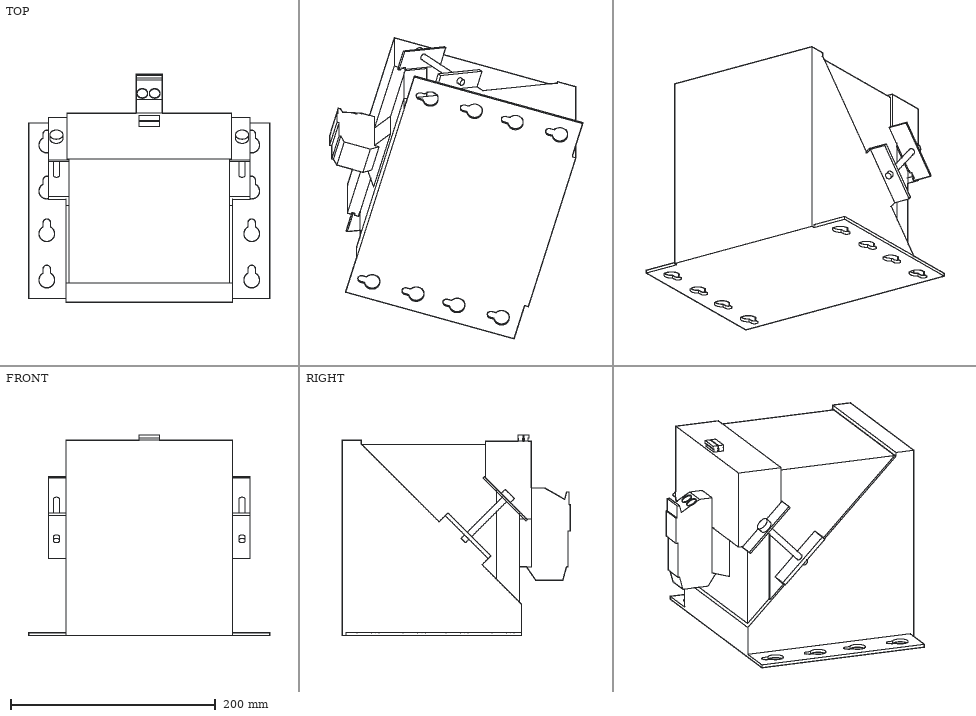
import cadquery as cq
import math


plate_width = 235.5
plate_thickness = 3.0
plate_front = 3.8
keyhole_x = 100.0
keyhole_radius = 7.5
keyhole_slot_radius = 3.5
keyhole_slot_rise = 10.8
keyhole_rows = (22.0, 67.0, 108.8, 153.8)

tray_width = 163.0
tray_depth = 175.5
tray_height = 191.0
tray_band_depth = 18.8
tray_back_height = 30.5

core_width = 156.8
core_step = 150.7
core_rear_width = 151.7
core_back = 173.3
core_height = 187.0

cap_width = 161.0
cap_front = 140.0
cap_back = 184.9
cap_bottom = 114.0
cap_top = 190.0
cap_slope_top = 154.5

clamp_half_width = 98.5
clamp_length = 59.3
lower_flange_thickness = 3.8
lower_flange_rise = 12.2
upper_flange_thickness = 2.0
screw_x = 90.7
screw_line_offset = 25.5
screw_radius = 3.0
head_radius = 6.4
head_height = 5.7
screw_end_projection = 4.7

terminal_width = 25.5
end_plate_thickness = 1.5
terminal_back = 223.0
terminal_top = 144.4
terminal_bottom = 54.2
terminal_slope_front = 198.0
terminal_slope_back = 217.4
terminal_slope_low = 133.3
terminal_lip_front = 219.3
terminal_lip_back = 221.8
terminal_lip_top = 140.5
terminal_ridge_top = 128.0
terminal_ridge_bottom = 102.2
terminal_lower_back = 221.0
terminal_taper_back = 215.7
terminal_foot_front = 189.0
terminal_foot_end = 180.2
contact_radius = 5.2
contact_depth = 1.0
contact_y = 204.5

bracket_bottom = 67.0
bracket_half_width = terminal_width / 2
bracket_flare = 16.5

clip_width = 20.3
clip_front = 171.7
clip_bar_width = 5.2
clip_gap = 0.7
clip_height = 6.1
clip_lip_height = 3.0
clip_lip_overhang = 0.2
clip_rear_overhang = 1.0


def box(x0, x1, y0, y1, z0, z1):
    return cq.Workplane("XY").box(x1 - x0, y1 - y0, z1 - z0, centered=False).translate((x0, y0, z0))


def cylinder(radius, height):
    return cq.Workplane("XY").circle(radius).extrude(height)


def prism(profile, x0, x1):
    """Extrude a (y, z) side profile from x0 to x1."""
    return cq.Workplane("YZ").polyline(profile).close().extrude(x1 - x0).translate((x0, 0, 0))


def mirrored(body):
    return body.union(body.mirror("YZ"))


def slanted_strip(top_z, thickness, x0, x1):
    """45 degree strip centred on the screw line, its upper face meeting the screw axis at top_z."""
    centre_y = top_z + screw_line_offset
    strip = cq.Workplane("XY").box(x1 - x0, clamp_length, thickness, centered=(False, True, False))
    strip = strip.translate((x0, 0, -thickness)).rotate((0, 0, 0), (1, 0, 0), -45)
    return strip.translate((0, centre_y, top_z))


def screw_axis_height(line_sum):
    """Height at which the screw axis crosses the 45 degree line y + z = line_sum."""
    return (line_sum - screw_line_offset) / 2


tray_line = tray_depth + tray_back_height
cap_line = cap_front + cap_slope_top
lower_flange_top = screw_axis_height(tray_line) + lower_flange_rise / math.sqrt(2)
upper_flange_top = screw_axis_height(cap_line)


def keyhole(x, y):
    tip_y = y + keyhole_slot_rise
    bulb = cylinder(keyhole_radius, plate_thickness).translate((x, y, 0))
    tip = cylinder(keyhole_slot_radius, plate_thickness).translate((x, tip_y, 0))
    neck = box(x - keyhole_slot_radius, x + keyhole_slot_radius, y, tip_y, 0, plate_thickness)
    return bulb.union(tip).union(neck)


def mounting_plate():
    plate = box(-plate_width / 2, plate_width / 2, plate_front, tray_depth, 0, plate_thickness)
    for y in keyhole_rows:
        for x in (-keyhole_x, keyhole_x):
            plate = plate.cut(keyhole(x, y))
    return plate


def tray():
    profile = [
        (0, 0),
        (tray_depth, 0),
        (tray_depth, tray_back_height),
        (tray_band_depth, tray_line - tray_band_depth),
        (tray_band_depth, tray_height),
        (0, tray_height),
    ]
    return prism(profile, -tray_width / 2, tray_width / 2)


def core():
    main = box(-core_width / 2, core_width / 2, 0, core_step, 0, core_height)
    rear = box(-core_rear_width / 2, core_rear_width / 2, core_step, core_back, 0, core_height)
    return main.union(rear)


def cap():
    profile = [
        (cap_front, cap_top),
        (cap_back, cap_top),
        (cap_back, cap_bottom),
        (core_back, cap_bottom),
        (core_back, cap_line - core_back),
        (cap_front, cap_slope_top),
    ]
    return prism(profile, -cap_width / 2, cap_width / 2)


def clamp_flanges():
    inner_x = core_width / 2
    lower_tab = slanted_strip(lower_flange_top, lower_flange_rise, inner_x, tray_width / 2)
    lower = slanted_strip(lower_flange_top, lower_flange_thickness, inner_x, clamp_half_width)
    upper = slanted_strip(upper_flange_top, upper_flange_thickness, inner_x, clamp_half_width)
    return mirrored(lower_tab.union(lower).union(upper))


def screws():
    flange_distance = (upper_flange_top - lower_flange_top) * math.sqrt(2)
    shaft_length = flange_distance + lower_flange_thickness + screw_end_projection
    screw = cylinder(head_radius, head_height).union(cylinder(screw_radius, -shaft_length))
    screw = screw.rotate((0, 0, 0), (1, 0, 0), -45)
    screw = screw.translate((screw_x, upper_flange_top + screw_line_offset, upper_flange_top))
    return mirrored(screw)


def terminal_block():
    profile = [
        (cap_back, terminal_top),
        (terminal_slope_front, terminal_top),
        (terminal_slope_back, terminal_slope_low),
        (terminal_lip_front, terminal_lip_top),
        (terminal_lip_back, terminal_lip_top),
        (terminal_lip_back, terminal_ridge_top),
        (terminal_back, terminal_ridge_top),
        (terminal_back, terminal_ridge_bottom),
        (terminal_lower_back, terminal_ridge_bottom),
        (terminal_lower_back, bracket_bottom),
        (terminal_lip_front, bracket_bottom),
        (terminal_taper_back, terminal_bottom),
        (terminal_foot_front, terminal_bottom),
        (terminal_foot_end, bracket_bottom),
        (cap_back, bracket_bottom),
    ]
    block = prism(profile, -terminal_width / 2, terminal_width / 2)
    slope_run = terminal_slope_back - terminal_slope_front
    slope_drop = terminal_top - terminal_slope_low
    slope_angle = math.degrees(math.atan2(slope_drop, slope_run))
    contact_z = terminal_top - (contact_y - terminal_slope_front) * slope_drop / slope_run
    terminal_pitch = (terminal_width - end_plate_thickness) / 2
    for side in (-1, 1):
        x = (side * terminal_pitch - end_plate_thickness) / 2
        recess = cylinder(contact_radius, 2 * contact_depth)
        recess = recess.translate((0, 0, -contact_depth)).rotate((0, 0, 0), (1, 0, 0), -slope_angle)
        block = block.cut(recess.translate((x, contact_y, contact_z)))
    return block


def terminal_bracket():
    """Bracket between core and terminal block, widening towards the core."""
    base = bracket_half_width + bracket_flare
    outline = [
        (-base, core_back),
        (base, core_back),
        (bracket_half_width, cap_back),
        (-bracket_half_width, cap_back),
    ]
    bracket = cq.Workplane("XY").polyline(outline).close().extrude(cap_bottom - bracket_bottom)
    return bracket.translate((0, 0, bracket_bottom))


def clip():
    top = cap_top + clip_height
    lip_z = top - clip_lip_height
    split = clip_front + clip_bar_width
    rear = split + clip_gap
    rear_end = rear + clip_bar_width
    half = clip_width / 2
    front_lip = box(-half, half, clip_front, split, lip_z, top)
    rear_lip = box(-half, half, rear, rear_end, lip_z, top)
    front_leg_start = clip_front + clip_lip_overhang
    front_leg = box(-half, half, front_leg_start, split - clip_lip_overhang, cap_top, lip_z)
    rear_leg_start = rear + clip_lip_overhang
    rear_leg = box(-half, half, rear_leg_start, rear_end - clip_rear_overhang, cap_top, lip_z)
    return front_leg.union(front_lip).union(rear_leg).union(rear_lip)


result = mounting_plate()
for body in (tray(), core(), cap(), clamp_flanges(), screws(), terminal_bracket(), terminal_block(), clip()):
    result = result.union(body)